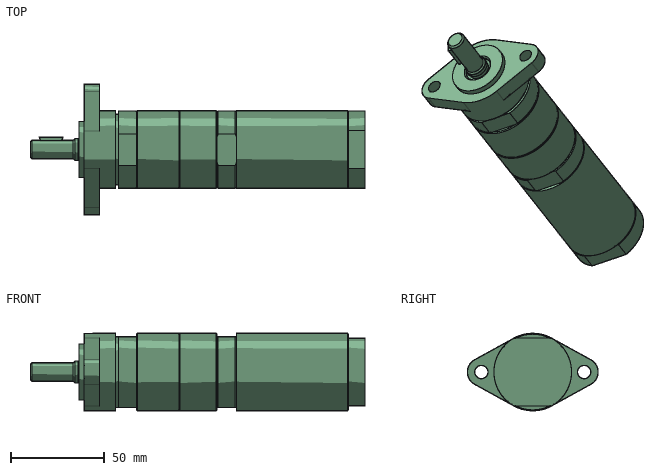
import cadquery as cq
import math

total_length = 179.0
shaft_shoulder_x = 23.0
collar_x = 23.8
pilot_x = 26.0
flange_x = 28.8
flange_thickness = 8.2
neck_x = 45.6
front_flats_x = 47.0
front_stage_x = 56.7
middle_stage_x = 79.5
middle_flats_x = 99.9
rear_stage_x = 110.0
rear_flats_x = 170.0

body_diameter = 41.5
body_radius = body_diameter / 2
neck_diameter = 38.0
body_flat_height = neck_diameter
rear_flat_height = 36.2
stage_chamfer = 0.5

pilot_diameter = 30.0
bolt_spacing = 55.0
bolt_hole_diameter = 7.0
tip_radius = 7.5
recess_diameter = 14.5
recess_mouth_diameter = 16.0
recess_depth = 1.8

shaft_diameter = 10.0
shaft_chamfer = 0.9
shoulder_diameter = 11.5
collar_diameter = 12.0
collar_chamfer = 0.4

key_width = 3.0
key_disc_diameter = 13.0
key_center_x = 11.1
key_top_y = 6.6
key_disc_offset = 1.5


def cylinder(start_x, end_x, diameter):
    """Solid cylinder along the motor axis."""
    return cq.Workplane("YZ", origin=(start_x, 0, 0)).circle(diameter / 2).extrude(end_x - start_x)


def body_cylinder(start_x, end_x, chamfered_ends=None):
    """Body-diameter cylinder with a small chamfer on the ends picked by the face selector."""
    body = cylinder(start_x, end_x, body_diameter)
    if chamfered_ends:
        body = body.faces(chamfered_ends).chamfer(stage_chamfer)
    return body


def cut_flats(section, height):
    """Trim a round section to the given height between flats on its +Z and -Z sides."""
    slab = cq.Workplane("XY").box(total_length, body_diameter, height, centered=(False, True, True))
    return section.intersect(slab)


def make_flange_ears():
    """Plate with a round tip at each bolt hole and edges that meet the round body at a tangent."""
    bolt_y = bolt_spacing / 2
    lean = math.asin((body_radius - tip_radius) / bolt_y)
    across, up = math.sin(lean), math.cos(lean)
    hub_y, hub_z = body_radius * across, body_radius * up
    tip_y, tip_z = bolt_y + tip_radius * across, tip_radius * up
    tip_end = bolt_y + tip_radius
    return (
        cq.Workplane("YZ", origin=(flange_x, 0, 0))
        .moveTo(-hub_y, hub_z)
        .lineTo(hub_y, hub_z)
        .lineTo(tip_y, tip_z)
        .threePointArc((tip_end, 0), (tip_y, -tip_z))
        .lineTo(hub_y, -hub_z)
        .lineTo(-hub_y, -hub_z)
        .lineTo(-tip_y, -tip_z)
        .threePointArc((-tip_end, 0), (-tip_y, tip_z))
        .close()
        .pushPoints([(-bolt_y, 0), (bolt_y, 0)])
        .circle(bolt_hole_diameter / 2)
        .extrude(flange_thickness)
    )


def make_housing():
    """Flange, pilot and the stacked stages behind them."""
    sections = [
        cylinder(pilot_x, flange_x, pilot_diameter),
        body_cylinder(flange_x, neck_x),
        cylinder(neck_x, front_flats_x, neck_diameter),
        cut_flats(body_cylinder(front_flats_x, front_stage_x), body_flat_height),
        body_cylinder(front_stage_x, middle_stage_x, "<X"),
        body_cylinder(middle_stage_x, middle_flats_x, "<X or >X"),
        cut_flats(body_cylinder(middle_flats_x, rear_stage_x, "<X or >X"), body_flat_height),
        body_cylinder(rear_stage_x, rear_flats_x, ">X"),
        cut_flats(body_cylinder(rear_flats_x, total_length), rear_flat_height),
    ]
    housing = make_flange_ears()
    for section in sections:
        housing = housing.union(section)
    return housing.clean()


def make_recess():
    """Round recess with a chamfered mouth in the pilot face."""
    mouth_depth = (recess_mouth_diameter - recess_diameter) / 2
    floor_x = pilot_x + recess_depth
    return (
        cq.Workplane("XY")
        .moveTo(pilot_x, 0)
        .lineTo(pilot_x, recess_mouth_diameter / 2)
        .lineTo(pilot_x + mouth_depth, recess_diameter / 2)
        .lineTo(floor_x, recess_diameter / 2)
        .lineTo(floor_x, 0)
        .close()
        .revolve(360, (0, 0, 0), (1, 0, 0))
    )


def make_shaft():
    """Chamfered shaft that widens through a cone to a collar and ends inside the housing."""
    shaft_radius = shaft_diameter / 2
    collar_radius = collar_diameter / 2
    root_radius = collar_radius - collar_chamfer
    return (
        cq.Workplane("XY")
        .moveTo(0, 0)
        .lineTo(0, shaft_radius - shaft_chamfer)
        .lineTo(shaft_chamfer, shaft_radius)
        .lineTo(shaft_shoulder_x, shaft_radius)
        .lineTo(collar_x, shoulder_diameter / 2)
        .lineTo(collar_x, collar_radius)
        .lineTo(pilot_x - collar_chamfer, collar_radius)
        .lineTo(pilot_x, root_radius)
        .lineTo(flange_x, root_radius)
        .lineTo(flange_x, 0)
        .close()
        .revolve(360, (0, 0, 0), (1, 0, 0))
    )


def make_key():
    """Woodruff key: segment of a disc with a flat outer face."""
    half_top = math.sqrt((key_disc_diameter / 2) ** 2 - key_disc_offset**2)
    bottom_y = key_top_y + key_disc_offset - key_disc_diameter / 2
    return (
        cq.Workplane("XY")
        .moveTo(key_center_x - half_top, key_top_y)
        .threePointArc((key_center_x, bottom_y), (key_center_x + half_top, key_top_y))
        .close()
        .extrude(key_width / 2, both=True)
    )


result = make_housing().cut(make_recess()).union(make_shaft()).union(make_key())